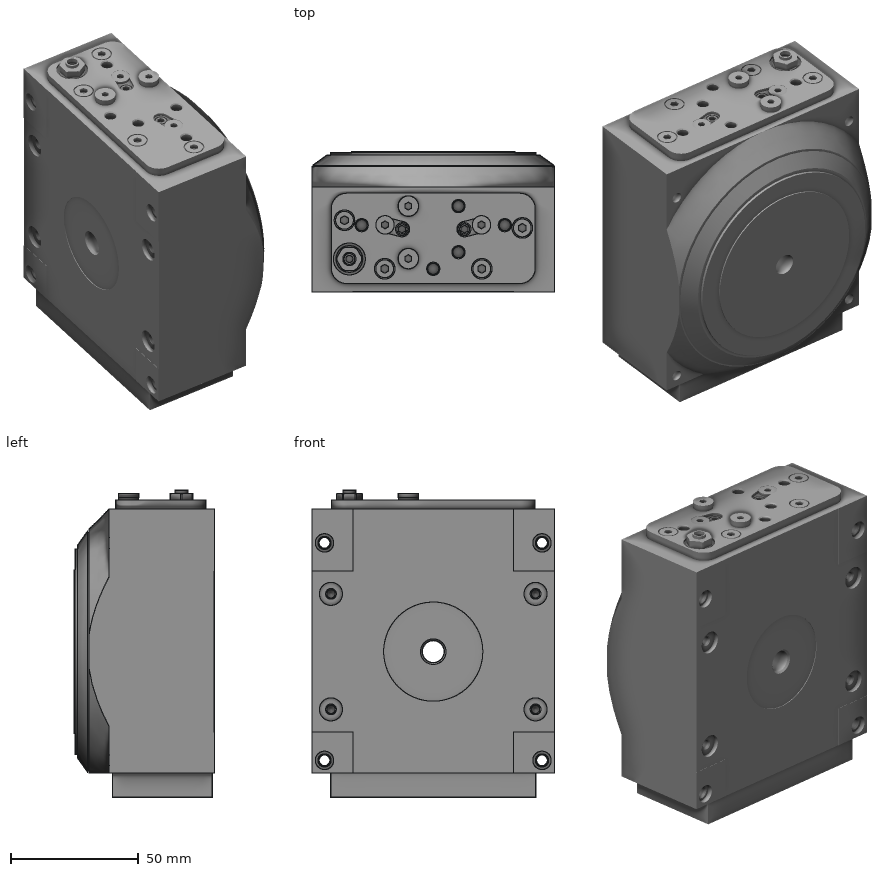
import cadquery as cq
import math


TOTAL_HEIGHT = 120.0
TOTAL_DEPTH = 55.0
WIDTH = 95.0

HOUSING_BOTTOM = -WIDTH / 2
HOUSING_TOP = 55.8
HOUSING_DEPTH = 49.1
SHOULDER_Y = 41.2
CONE_END_RADIUS = HOUSING_TOP - (HOUSING_DEPTH - SHOULDER_Y)

PAD_EDGE = 31.5
PAD_STEP = 0.1
CENTRE_RECESS_DIAMETER = 38.8
CENTRE_RECESS_DEPTH = 0.4

SHAFT_BORE = 8.5
SHAFT_BORE_MOUTH = 10.0

MOUNT_HOLE_OFFSET = 42.5
MOUNT_HOLE = 4.2
MOUNT_HOLE_MOUTH = 5.2
MOUNT_COUNTERBORE = 7.2
MOUNT_COUNTERBORE_DEPTH = 2.0

DOWEL_X = 40.0
DOWEL_Z = 22.6
DOWEL_HOLE = 3.2
DOWEL_HOLE_MOUTH = 4.2
DOWEL_COUNTERBORE = 9.0
DOWEL_COUNTERBORE_DEPTH = 1.9
DOWEL_HOLE_DEPTH = 7.2

NECK_RADIUS = 46.6
NECK_LENGTH = 0.5
ROTOR_RADIUS = 47.2
ROTOR_CONE_END_RADIUS = 41.7
ROTOR_CONE_END_Y = 53.5
FLANGE_RADIUS = 40.2
FLANGE_END_Y = 54.5
BOSS_RADIUS = 31.9

BLOCK_WIDTH = 80.2
BLOCK_Y_MIN = 0.8
BLOCK_Y_MAX = 40.0
BLOCK_HEIGHT = 9.5

PLATE_WIDTH = 79.7
PLATE_Y_MIN = 3.4
PLATE_Y_MAX = 38.7
PLATE_THICKNESS = 3.5
PLATE_CORNER_RADIUS = 6.0
PLATE_TOP = HOUSING_TOP + PLATE_THICKNESS

PORTS = [(-28.0, 26.2), (28.0, 26.2), (9.8, 33.6), (9.8, 15.6), (0, 9.1)]
PORT_HOLE = 4.3
PORT_MOUTH = 5.2

SUNK_SCREWS = [(-34.7, 28.1), (34.8, 25.1), (-19.0, 9.1), (19.0, 9.1)]
SUNK_SCREW_BORE = 8.0
SUNK_SCREW_HEAD = 7.0
SUNK_SCREW_GROOVE_DEPTH = 0.7
SUNK_SCREW_SOCKET = 3.0

PLUGS = [(-9.7, 33.6), (-9.7, 13.1)]
PLUG_HEAD = 8.0
PLUG_COLLAR = 7.9
PLUG_COLLAR_HEIGHT = 0.8
HEAD_HEIGHT = 2.5
SMALL_SOCKET = 2.6
SOCKET_DEPTH = 1.8
SOCKET_TURN = 30

DISC_X = 18.8
DISC_Y = 26.3
DISC_DIAMETER = 7.2
DISC_SINK = 0.1
THROTTLE_X = 12.2
THROTTLE_Y = 24.6
THROTTLE_POCKET = 6.0
THROTTLE_POCKET_DEPTH = 1.2
THROTTLE_SCREW_BORE = 5.0
THROTTLE_SCREW = 4.0
THROTTLE_GROOVE_DEPTH = 0.6

NUT_X = -32.8
NUT_Y = 13.0
NUT_ACROSS_FLATS = 9.0
NUT_DIAMETER = 10.1
NUT_CHAMFER = 0.2
NUT_RECESS = 12.5
NUT_RECESS_DEPTH = 1.0
NUT_COLLAR = 10.5
NUT_COLLAR_HEIGHT = 0.4
STUD_DIAMETER = 5.2
STUD_BORE = 4.2
STUD_BORE_DEPTH = 2.4
STUD_SOCKET = 2.8
STUD_SOCKET_DEPTH = 3.6
STUD_TOP = TOTAL_HEIGHT + HOUSING_BOTTOM - BLOCK_HEIGHT


def box(x_min, x_max, y_min, y_max, z_min, z_max):
    """Axis-aligned box between the given limits."""
    size = (x_max - x_min, y_max - y_min, z_max - z_min)
    return cq.Workplane("XY").box(*size, centered=False).translate((x_min, y_min, z_min))


def turned(profile):
    """Solid of revolution about the Y axis from (radius, y) points."""
    return cq.Workplane("XY").polyline(profile).close().revolve(360, (0, 0, 0), (0, 1, 0))


def disc(x, y, diameter, z_min, z_max):
    """Upright cylinder."""
    plane = cq.Workplane("XY", origin=(x, y, z_min))
    return plane.circle(diameter / 2).extrude(z_max - z_min)


def ring(x, y, outer, inner, z_min, z_max):
    """Upright tube."""
    plane = cq.Workplane("XY", origin=(x, y, z_min))
    return plane.circle(outer / 2).circle(inner / 2).extrude(z_max - z_min)


def hexagon(x, y, across_flats, z_min, z_max, turn=0):
    """Upright hexagonal prism with two corners on the X direction, or turned by some degrees."""
    across_corners = across_flats / math.cos(math.radians(30))
    prism = cq.Workplane("XY").polygon(6, across_corners).extrude(z_max - z_min)
    return prism.rotate((0, 0, 0), (0, 0, 1), turn).translate((x, y, z_min))


def socket(x, y, across_flats, top):
    """Hexagon socket cut down from `top`."""
    return hexagon(x, y, across_flats, top - SOCKET_DEPTH, top, SOCKET_TURN)


def chamfered_hole_profile(hole, mouth, start, end):
    """Profile of a Y-directed hole whose mouth at `start` is opened by a 45 degree chamfer."""
    chamfer_end = start + (mouth - hole) / 2
    return [(0, start), (mouth / 2, start), (hole / 2, chamfer_end), (hole / 2, end), (0, end)]


def mount_hole():
    """Counterbored through hole at a housing corner, on the Y axis."""
    counterbore = turned([
        (0, 0),
        (MOUNT_COUNTERBORE / 2, 0),
        (MOUNT_COUNTERBORE / 2, MOUNT_COUNTERBORE_DEPTH),
        (0, MOUNT_COUNTERBORE_DEPTH),
    ])
    profile = chamfered_hole_profile(MOUNT_HOLE, MOUNT_HOLE_MOUTH, MOUNT_COUNTERBORE_DEPTH, TOTAL_DEPTH)
    return counterbore.union(turned(profile))


def dowel_hole():
    """Counterbored blind hole with a drill-cone floor, on the Y axis."""
    floor = DOWEL_COUNTERBORE_DEPTH
    drill_end = floor + DOWEL_HOLE_DEPTH
    chamfer = (DOWEL_HOLE_MOUTH - DOWEL_HOLE) / 2
    cone_length = DOWEL_HOLE / 2 * math.tan(math.radians(30))
    return turned([
        (0, 0),
        (DOWEL_COUNTERBORE / 2, 0),
        (DOWEL_COUNTERBORE / 2, floor),
        (DOWEL_HOLE_MOUTH / 2, floor),
        (DOWEL_HOLE / 2, floor + chamfer),
        (DOWEL_HOLE / 2, drill_end),
        (0, drill_end + cone_length),
    ])


def make_housing():
    half = WIDTH / 2
    body = box(-half, half, 0, SHOULDER_Y, HOUSING_BOTTOM, HOUSING_TOP)

    cone = turned([
        (0, SHOULDER_Y),
        (HOUSING_TOP, SHOULDER_Y),
        (CONE_END_RADIUS, HOUSING_DEPTH),
        (0, HOUSING_DEPTH),
    ])
    trim = box(-half, half, SHOULDER_Y, HOUSING_DEPTH, HOUSING_BOTTOM, HOUSING_TOP)
    body = body.union(cone.intersect(trim))

    body = body.cut(box(-PAD_EDGE, PAD_EDGE, 0, PAD_STEP, HOUSING_BOTTOM, HOUSING_TOP))
    body = body.cut(box(-half, half, 0, PAD_STEP, -PAD_EDGE, PAD_EDGE))

    recess_radius = CENTRE_RECESS_DIAMETER / 2
    body = body.cut(turned([
        (0, 0),
        (recess_radius, 0),
        (recess_radius, CENTRE_RECESS_DEPTH),
        (0, CENTRE_RECESS_DEPTH),
    ]))
    bore = chamfered_hole_profile(SHAFT_BORE, SHAFT_BORE_MOUTH, CENTRE_RECESS_DEPTH, HOUSING_DEPTH)
    body = body.cut(turned(bore))

    for side in (-1, 1):
        for level in (-1, 1):
            body = body.cut(mount_hole().translate((side * MOUNT_HOLE_OFFSET, 0, level * MOUNT_HOLE_OFFSET)))
            body = body.cut(dowel_hole().translate((side * DOWEL_X, 0, level * DOWEL_Z)))
    return body


def make_rotor():
    neck_end = HOUSING_DEPTH + NECK_LENGTH
    bore_radius = SHAFT_BORE / 2
    return turned([
        (bore_radius, HOUSING_DEPTH),
        (NECK_RADIUS, HOUSING_DEPTH),
        (NECK_RADIUS, neck_end),
        (ROTOR_RADIUS, neck_end),
        (ROTOR_CONE_END_RADIUS, ROTOR_CONE_END_Y),
        (FLANGE_RADIUS, ROTOR_CONE_END_Y),
        (FLANGE_RADIUS, FLANGE_END_Y),
        (BOSS_RADIUS, FLANGE_END_Y),
        (BOSS_RADIUS, TOTAL_DEPTH),
        (bore_radius, TOTAL_DEPTH),
    ])


def make_end_block():
    half = BLOCK_WIDTH / 2
    return box(-half, half, BLOCK_Y_MIN, BLOCK_Y_MAX, HOUSING_BOTTOM - BLOCK_HEIGHT, HOUSING_BOTTOM)


def add_ports(plate):
    """Air ports through the plate, chamfered at the mouth."""
    chamfer = (PORT_MOUTH - PORT_HOLE) / 2
    for x, y in PORTS:
        plate = plate.cut(disc(x, y, PORT_HOLE, HOUSING_TOP, PLATE_TOP))
        cone = cq.Solid.makeCone(PORT_HOLE / 2, PORT_MOUTH / 2, chamfer, cq.Vector(x, y, PLATE_TOP - chamfer))
        plate = plate.cut(cq.Workplane(cone))
    return plate


def add_sunk_screws(plate):
    """Flush screw heads, each inside a ring-shaped clearance groove."""
    groove_floor = PLATE_TOP - SUNK_SCREW_GROOVE_DEPTH
    for x, y in SUNK_SCREWS:
        plate = plate.cut(ring(x, y, SUNK_SCREW_BORE, SUNK_SCREW_HEAD, groove_floor, PLATE_TOP))
        plate = plate.cut(socket(x, y, SUNK_SCREW_SOCKET, PLATE_TOP))
    return plate


def add_plugs(plate):
    """Socket-head plugs standing on slightly narrower collars."""
    head_top = PLATE_TOP + HEAD_HEIGHT
    collar_top = PLATE_TOP + PLUG_COLLAR_HEIGHT
    for x, y in PLUGS:
        head = disc(x, y, PLUG_HEAD, collar_top, head_top)
        plug = disc(x, y, PLUG_COLLAR, PLATE_TOP, collar_top).union(head)
        plug = plug.cut(socket(x, y, SMALL_SOCKET, head_top))
        plate = plate.union(plug)
    return plate


def add_throttles(plate):
    """Retaining discs, each overlapping a pocket that holds a throttle screw."""
    pocket_floor = PLATE_TOP - THROTTLE_POCKET_DEPTH
    groove_floor = pocket_floor - THROTTLE_GROOVE_DEPTH
    disc_top = PLATE_TOP - DISC_SINK
    reach = math.hypot(DISC_X - THROTTLE_X, DISC_Y - THROTTLE_Y)
    for side in (-1, 1):
        disc_x = side * DISC_X
        screw_x = side * THROTTLE_X
        angle = math.degrees(math.atan2(DISC_Y - THROTTLE_Y, disc_x - screw_x))
        middle = ((disc_x + screw_x) / 2, (DISC_Y + THROTTLE_Y) / 2, pocket_floor)
        pocket = (
            cq.Workplane("XY")
            .slot2D(reach + THROTTLE_POCKET, THROTTLE_POCKET, angle)
            .extrude(THROTTLE_POCKET_DEPTH)
            .translate(middle)
        )
        plate = plate.cut(pocket.cut(disc(disc_x, DISC_Y, DISC_DIAMETER, pocket_floor, PLATE_TOP)))
        plate = plate.cut(disc(disc_x, DISC_Y, DISC_DIAMETER, disc_top, PLATE_TOP))
        plate = plate.cut(socket(disc_x, DISC_Y, SMALL_SOCKET, disc_top))

        groove = ring(screw_x, THROTTLE_Y, THROTTLE_SCREW_BORE, THROTTLE_SCREW, groove_floor, pocket_floor)
        covered = disc(disc_x, DISC_Y, DISC_DIAMETER, groove_floor, pocket_floor)
        plate = plate.cut(groove.cut(covered))
        plate = plate.cut(socket(screw_x, THROTTLE_Y, SMALL_SOCKET, pocket_floor))
    return plate


def add_nut(plate):
    """Chamfered collared hexagon nut on a hollow stud, sitting in a round recess."""
    floor = PLATE_TOP - NUT_RECESS_DEPTH
    nut_top = PLATE_TOP + HEAD_HEIGHT
    plate = plate.cut(disc(NUT_X, NUT_Y, NUT_RECESS, floor, PLATE_TOP))

    blank = disc(NUT_X, NUT_Y, NUT_DIAMETER, floor, nut_top).faces(">Z").chamfer(NUT_CHAMFER)
    plate = plate.union(blank.intersect(hexagon(NUT_X, NUT_Y, NUT_ACROSS_FLATS, floor, nut_top)))

    plate = plate.union(disc(NUT_X, NUT_Y, NUT_COLLAR, floor, floor + NUT_COLLAR_HEIGHT))
    plate = plate.union(disc(NUT_X, NUT_Y, STUD_DIAMETER, floor, STUD_TOP))
    plate = plate.cut(disc(NUT_X, NUT_Y, STUD_BORE, STUD_TOP - STUD_BORE_DEPTH, STUD_TOP))
    return plate.cut(disc(NUT_X, NUT_Y, STUD_SOCKET, STUD_TOP - STUD_SOCKET_DEPTH, STUD_TOP))


def make_port_plate():
    half = PLATE_WIDTH / 2
    plate = box(-half, half, PLATE_Y_MIN, PLATE_Y_MAX, HOUSING_TOP, PLATE_TOP)
    plate = plate.edges("|Z").fillet(PLATE_CORNER_RADIUS)
    plate = add_ports(plate)
    plate = add_sunk_screws(plate)
    plate = add_throttles(plate)
    plate = add_plugs(plate)
    return add_nut(plate)


housing = make_housing()
rotor = make_rotor()
port_plate = make_port_plate()
end_block = make_end_block()

result = cq.Compound.makeCompound([housing.val(), rotor.val(), port_plate.val(), end_block.val()])